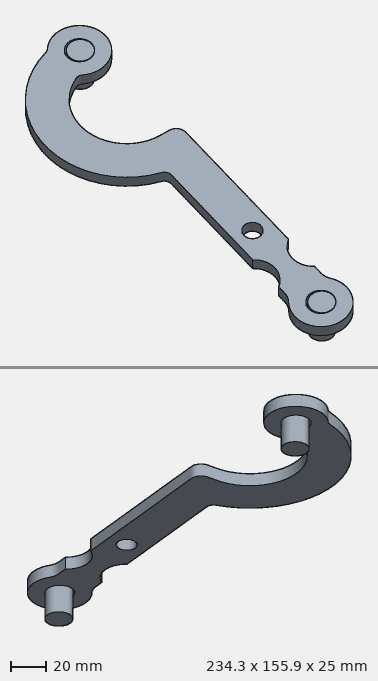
import cadquery as cq
import math

arm_angle = -31.2
plate_thickness = 8.0

hook_outer_radius = 57.5
hook_inner_radius = 32.5
hook_mean_radius = (hook_outer_radius + hook_inner_radius) / 2

arm_half_width = 12.7
arm_hole_x = 120.0
arm_hole_diameter = 12.0

boss_radius = 18.3
boss_positions = [-hook_mean_radius, 185.3]

waist_x = 149.7
waist_half_width = 6.0
scallop_radius = 14.8
scallop_offset = waist_half_width + scallop_radius

corner_radius = 5.0
arm_boss_blend_radius = 10.8
arm_tip_radius = 6.8

pin_diameter = 16.0
pin_hole_diameter = 17.0
pin_length = 25.0
pin_shift_x = 0.5
pin_shift_y = 0.12


def cylinder(x, y, radius, height):
    return cq.Workplane("XY").center(x, y).circle(radius).extrude(height)


def circle_x(radius, y):
    """Distance along X from a circle's centre to its point at height y."""
    return math.sqrt(radius**2 - y**2)


def corner_at(x, y):
    """Selector for the upright edge closest to a plan position."""
    return cq.selectors.NearestToPointSelector((x, y, plate_thickness / 2))


def hook_boss_corners():
    """Plan positions where the hook's end boss crosses its outer and inner circles."""
    corners = []
    for radius in (hook_outer_radius, hook_inner_radius):
        x = (boss_radius**2 - radius**2 - hook_mean_radius**2) / (2 * hook_mean_radius)
        corners.append((x, -circle_x(radius, x)))
    return corners


def hook():
    return (
        cq.Workplane("XY")
        .moveTo(-hook_outer_radius, 0)
        .threePointArc((0, -hook_outer_radius), (hook_outer_radius, 0))
        .lineTo(hook_inner_radius, 0)
        .threePointArc((0, -hook_inner_radius), (-hook_inner_radius, 0))
        .close()
        .extrude(plate_thickness)
    )


def arm():
    """Bar from the end of the hook, tangent to its inner circle, to the far boss."""
    length = boss_positions[1] - hook_inner_radius
    return (
        cq.Workplane("XY")
        .center(hook_inner_radius + length / 2, 0)
        .rect(length, 2 * arm_half_width)
        .extrude(plate_thickness)
    )


def blend_corners(body):
    arm_tip = corner_at(hook_inner_radius, arm_half_width)
    body = body.edges("|Z").edges(arm_tip).fillet(arm_tip_radius)

    arm_underside = (circle_x(hook_outer_radius, arm_half_width), -arm_half_width)
    for x, y in [arm_underside, *hook_boss_corners()]:
        body = body.edges("|Z").edges(corner_at(x, y)).fillet(corner_radius)

    arm_end_x = boss_positions[1] - circle_x(boss_radius, arm_half_width)
    for y in (arm_half_width, -arm_half_width):
        body = body.edges("|Z").edges(corner_at(arm_end_x, y)).fillet(arm_boss_blend_radius)
    return body


def make_plate():
    body = hook().union(arm())
    for x in boss_positions:
        body = body.union(cylinder(x, 0, boss_radius, plate_thickness))
    body = blend_corners(body)
    for y in (scallop_offset, -scallop_offset):
        body = body.cut(cylinder(waist_x, y, scallop_radius, plate_thickness))
    for x in boss_positions:
        body = body.cut(cylinder(x, 0, pin_hole_diameter / 2, plate_thickness))
    return body.cut(cylinder(arm_hole_x, 0, arm_hole_diameter / 2, plate_thickness))


def make_pin(x):
    """Pin with its top face flush with the top of the plate."""
    pin = cylinder(x, 0, pin_diameter / 2, pin_length)
    return pin.translate((0, 0, plate_thickness - pin_length))


def turn(body):
    return body.rotate((0, 0, 0), (0, 0, 1), arm_angle)


plate = turn(make_plate())
pins = [turn(make_pin(x)).translate((pin_shift_x, pin_shift_y, 0)) for x in boss_positions]

result = cq.Compound.makeCompound([plate.val(), *[pin.val() for pin in pins]])